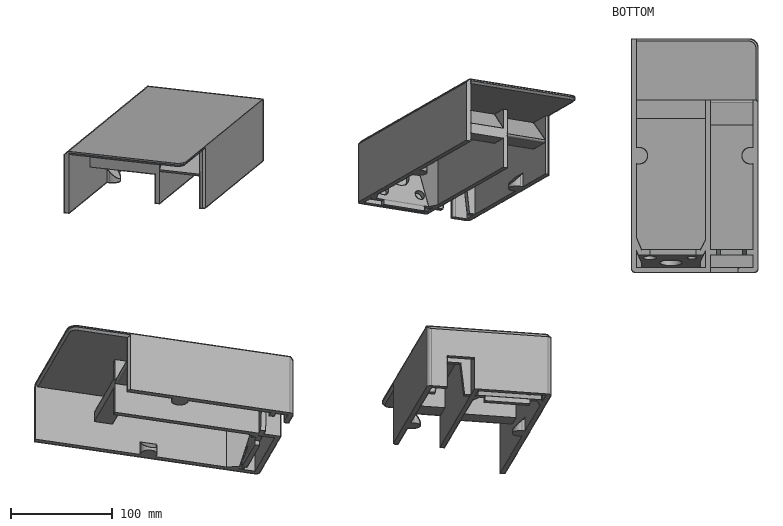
import cadquery as cq
import math

LENGTH_X = 125.0
LENGTH_Y = 230.0
HEIGHT = 64.0
WALL = 5.0
ROOF = 4.0
BEVEL = 4.0
CORNER_RADIUS = 4.1
ROOF_LIP = 1.5
ROOF_CORNER_RADIUS = 9.2
ROOF_UNDERSIDE = HEIGHT - ROOF
LIP_Z = HEIGHT - ROOF_LIP
UNDER_BEVEL = ROOF - ROOF_LIP

BODY_FRONT = 60.0
REAR_INNER = LENGTH_Y - WALL
RIGHT_INNER = LENGTH_X - WALL
DIVIDER_X = 73.1
DIVIDER_RIGHT = 77.7
LEFT_MID = (WALL + DIVIDER_X) / 2
RIGHT_MID = (DIVIDER_RIGHT + RIGHT_INNER) / 2

LEFT_BEAM_BOTTOM = 30.0
LEFT_BEAM_TOP = 40.2
LEFT_RAMP_RUN = 18.6
RIGHT_BEAM_BOTTOM = 32.7
RIGHT_BEAM_ROUND = 2.5

LEAN = math.radians(15)
PANEL_FOOT_Y = 207.5
PANEL_DEPTH = WALL / math.cos(LEAN)
PANEL_HALF_WIDTH = 29.0
FLANK_ANGLES = {-1: math.radians(23), 1: math.radians(27.4)}
TONGUE_LENGTH = 45.0
TONGUE_X = 18.5
TONGUE_DROP = 5.0
LARGE_SOCKET_Z = 30.0
SMALL_SOCKET_Z = 11.7
SMALL_SOCKET_OFFSET = 20.7
SOCKET_HOLES = [
    (LEFT_MID, LARGE_SOCKET_Z, 22.0),
    (LEFT_MID - SMALL_SOCKET_OFFSET, SMALL_SOCKET_Z, 13.0),
    (LEFT_MID + SMALL_SOCKET_OFFSET, SMALL_SOCKET_Z, 10.0),
]

GATE_BACK = PANEL_FOOT_Y + WALL
GATE_HALF_TOP = 10.8
GATE_HALF_BOTTOM = 14.7
REAR_OPENING_RIGHT = 104.9
REAR_OPENING_ROUND = 2.3

POST_Y = LENGTH_Y / 2
POST_RADIUS = 8.0
POST_REACH = 11.0
POST_TOP = 14.3


def block(x0, x1, y0, y1, z0, z1):
    return cq.Workplane("XY").box(x1 - x0, y1 - y0, z1 - z0, centered=False).translate((x0, y0, z0))


def yz_prism(points, x0, x1):
    return cq.Workplane("YZ").polyline(points).close().extrude(x1 - x0).translate((x0, 0, 0))


def xz_prism(points, y0, y1):
    return cq.Workplane("XZ").polyline(points).close().extrude(y0 - y1).translate((0, y0, 0))


def outer_blank():
    """Solid envelope with round rear corners, bevelled along the left and rear roof edges."""
    blank = block(0, LENGTH_X, 0, LENGTH_Y, 0, HEIGHT)
    blank = blank.edges("|Z and <X and >Y").fillet(CORNER_RADIUS)
    blank = blank.faces(">Z").edges("<X or >Y").chamfer(BEVEL)
    return blank.edges("|Z and >X and >Y").fillet(CORNER_RADIUS)


def overhang_space():
    """The corner of the envelope in front of the body and beside the left wall."""
    return block(WALL, LENGTH_X, 0, BODY_FRONT, 0, HEIGHT)


def free_roof():
    """Overhanging roof, bevelled underneath along its free edges and rounded corner."""
    roof = block(WALL, LENGTH_X, 0, BODY_FRONT, ROOF_UNDERSIDE, HEIGHT)
    roof = roof.edges("|Z and >X and <Y").fillet(ROOF_CORNER_RADIUS)
    return roof.faces("<Z").edges("not(<X or >Y)").chamfer(UNDER_BEVEL)


def right_wall_bevel():
    """Bevel on the front end of the right wall, mitred into the bevel under the roof."""
    inner_x = LENGTH_X - UNDER_BEVEL
    plan = [(inner_x, BODY_FRONT), (LENGTH_X, BODY_FRONT), (LENGTH_X, BODY_FRONT + UNDER_BEVEL)]
    mitre = [(inner_x, 0), (inner_x, ROOF_UNDERSIDE), (LENGTH_X, LIP_Z), (LENGTH_X, 0)]
    wedge = cq.Workplane("XY").polyline(plan).close().extrude(LIP_Z)
    return wedge.intersect(xz_prism(mitre, 0, LENGTH_Y))


def shell():
    """Walls, divider and roof of the cover, open at the rim."""
    body = outer_blank().cut(overhang_space()).union(free_roof()).cut(right_wall_bevel())
    for x0, x1 in ((WALL, DIVIDER_X), (DIVIDER_RIGHT, RIGHT_INNER)):
        body = body.cut(block(x0, x1, BODY_FRONT, REAR_INNER, 0, ROOF_UNDERSIDE))
    return body


def left_beam():
    """Cross beam whose front slopes up into the roof."""
    ramp_end = BODY_FRONT + LEFT_RAMP_RUN
    profile = [
        (BODY_FRONT, LEFT_BEAM_BOTTOM),
        (BODY_FRONT, LEFT_BEAM_TOP),
        (ramp_end, ROOF_UNDERSIDE),
        (ramp_end, LEFT_BEAM_BOTTOM),
    ]
    return yz_prism(profile, WALL, DIVIDER_X)


def right_beam():
    """45 degree ramp above a rounded lower front edge."""
    nose_z = RIGHT_BEAM_BOTTOM + RIGHT_BEAM_ROUND
    ramp_end = BODY_FRONT + ROOF_UNDERSIDE - nose_z
    arc_shift = RIGHT_BEAM_ROUND * (1 - math.sqrt(0.5))
    return (
        cq.Workplane("YZ")
        .moveTo(BODY_FRONT, nose_z)
        .threePointArc(
            (BODY_FRONT + arc_shift, RIGHT_BEAM_BOTTOM + arc_shift),
            (BODY_FRONT + RIGHT_BEAM_ROUND, RIGHT_BEAM_BOTTOM),
        )
        .lineTo(ramp_end, RIGHT_BEAM_BOTTOM)
        .lineTo(ramp_end, ROOF_UNDERSIDE)
        .close()
        .extrude(RIGHT_INNER - DIVIDER_RIGHT)
        .translate((DIVIDER_RIGHT, 0, 0))
    )


def panel_y(z):
    return PANEL_FOOT_Y + z * math.tan(LEAN)


def leaning_panel():
    """Socket panel leaning back towards the roof."""
    top_y = panel_y(ROOF_UNDERSIDE)
    profile = [
        (PANEL_FOOT_Y, 0),
        (top_y, ROOF_UNDERSIDE),
        (top_y + PANEL_DEPTH, ROOF_UNDERSIDE),
        (PANEL_FOOT_Y + PANEL_DEPTH, 0),
    ]
    return yz_prism(profile, LEFT_MID - PANEL_HALF_WIDTH, LEFT_MID + PANEL_HALF_WIDTH)


def flank(side):
    """Upright wall that flares from the panel edge to the bay wall on one side (-1 left, +1 right)."""
    angle = FLANK_ANGLES[side]
    foot_x = LEFT_MID + side * PANEL_HALF_WIDTH
    wall_x = WALL if side < 0 else DIVIDER_X
    wall_y = PANEL_FOOT_Y - abs(wall_x - foot_x) / math.tan(angle)
    end_x = foot_x - side * (REAR_INNER - PANEL_FOOT_Y) * math.tan(angle)
    thickness_y = WALL / math.sin(angle)
    outer_y = min(wall_y + thickness_y, REAR_INNER)
    outer_x = end_x + side * WALL / math.cos(angle)
    plan = [(wall_x, wall_y), (end_x, REAR_INNER), (outer_x, REAR_INNER), (wall_x, outer_y)]
    in_front_of_panel_back = [
        (0, 0),
        (PANEL_FOOT_Y + PANEL_DEPTH, 0),
        (panel_y(ROOF_UNDERSIDE) + PANEL_DEPTH, ROOF_UNDERSIDE),
        (0, ROOF_UNDERSIDE),
    ]
    wall = cq.Workplane("XY").polyline(plan).close().extrude(ROOF_UNDERSIDE)
    return wall.intersect(yz_prism(in_front_of_panel_back, WALL, DIVIDER_X))


def socket_alcove():
    """Panel and both flanks, drilled square to the panel face."""
    alcove = leaning_panel().union(flank(-1)).union(flank(1))
    inward = cq.Vector(0, math.cos(LEAN), -math.sin(LEAN))
    for x, z, diameter in SOCKET_HOLES:
        start = cq.Vector(x, panel_y(z), z)
        alcove = alcove.cut(cq.Workplane(cq.Solid.makeCylinder(diameter / 2, 2 * WALL, start, inward)))
    return alcove


def tongue():
    """Tab reaching below the rim under the foot of the socket panel."""
    return block(
        TONGUE_X, TONGUE_X + TONGUE_LENGTH, PANEL_FOOT_Y, PANEL_FOOT_Y + WALL, -TONGUE_DROP, 0
    )


def gate():
    """Cross wall of the right bay with a tapered gateway."""
    wall = block(DIVIDER_RIGHT, RIGHT_INNER, GATE_BACK - WALL, GATE_BACK, 0, ROOF_UNDERSIDE)
    gateway = [
        (RIGHT_MID - GATE_HALF_BOTTOM, 0),
        (RIGHT_MID - GATE_HALF_TOP, RIGHT_BEAM_BOTTOM),
        (RIGHT_MID + GATE_HALF_TOP, RIGHT_BEAM_BOTTOM),
        (RIGHT_MID + GATE_HALF_BOTTOM, 0),
    ]
    return wall.cut(xz_prism(gateway, GATE_BACK - WALL, GATE_BACK))


def rear_opening():
    """Opening through the rear wall whose right inner edge is rounded."""
    arc_shift = REAR_OPENING_ROUND * (1 - math.sqrt(0.5))
    return (
        cq.Workplane("XY")
        .moveTo(DIVIDER_RIGHT, REAR_INNER)
        .lineTo(REAR_OPENING_RIGHT + REAR_OPENING_ROUND, REAR_INNER)
        .threePointArc(
            (REAR_OPENING_RIGHT + arc_shift, REAR_INNER + arc_shift),
            (REAR_OPENING_RIGHT, REAR_INNER + REAR_OPENING_ROUND),
        )
        .lineTo(REAR_OPENING_RIGHT, LENGTH_Y)
        .lineTo(DIVIDER_RIGHT, LENGTH_Y)
        .close()
        .extrude(RIGHT_BEAM_BOTTOM)
    )


def left_post():
    """Round-nosed post on the left wall with a top sloping down at 45 degrees."""
    centre_x = WALL + POST_REACH - POST_RADIUS
    post = block(WALL, centre_x, POST_Y - POST_RADIUS, POST_Y + POST_RADIUS, 0, POST_TOP)
    nose = cq.Workplane("XY").center(centre_x, POST_Y).circle(POST_RADIUS).extrude(POST_TOP)
    keep = [
        (WALL, 0),
        (WALL, POST_TOP),
        (WALL + POST_REACH, POST_TOP - POST_REACH),
        (WALL + POST_REACH, 0),
    ]
    return post.union(nose).intersect(xz_prism(keep, 0, LENGTH_Y))


def right_post():
    """Mirror image of the left post on the right wall."""
    return left_post().mirror("YZ", (LENGTH_X / 2, 0, 0))


result = shell().cut(rear_opening())
for feature in (
    left_beam(),
    right_beam(),
    socket_alcove(),
    tongue(),
    gate(),
    left_post(),
    right_post(),
):
    result = result.union(feature)